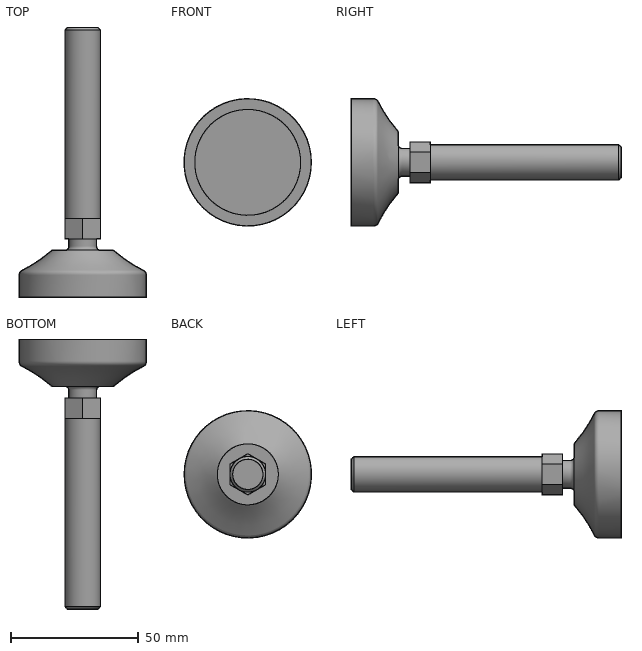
import cadquery as cq
import math

foot_radius = 50.0 / 2
foot_rim_height = 8.7
shoulder_round_top = 10.5
shoulder_outer_radius = 24.1
shoulder_top_radius = 12.8
shoulder_top_height = 17.9
foot_height = 18.5
foot_top_radius = 12.0
shoulder_sag = 0.4
rim_round_bulge = 0.26

recess_radius = 41.5 / 2
recess_depth = 3.0

neck_radius = 11.0 / 2
flare_radius = 6.5
flare_top_height = 19.8
flare_sag = 0.2

hex_across_flats = 14.0
hex_bottom = 23.0
hex_height = 8.1
stud_radius = 14.0 / 2
total_length = 106
stud_chamfer = 1.1


def arc_midpoint(start, end, offset):
    """Point beside the middle of a chord, offset to the left of its direction."""
    dx = end[0] - start[0]
    dy = end[1] - start[1]
    length = math.hypot(dx, dy)
    mid_x = (start[0] + end[0]) / 2
    mid_y = (start[1] + end[1]) / 2
    return (mid_x - offset * dy / length, mid_y + offset * dx / length)


def make_foot_and_neck():
    rim_top = (foot_radius, foot_rim_height)
    shoulder_start = (shoulder_outer_radius, shoulder_round_top)
    shoulder_end = (shoulder_top_radius, shoulder_top_height)
    flare_start = (flare_radius, foot_height)
    flare_end = (neck_radius, flare_top_height)
    return (
        cq.Workplane("XY")
        .moveTo(0, recess_depth)
        .lineTo(recess_radius, recess_depth)
        .lineTo(recess_radius, 0)
        .lineTo(foot_radius, 0)
        .lineTo(*rim_top)
        .threePointArc(arc_midpoint(rim_top, shoulder_start, -rim_round_bulge), shoulder_start)
        .threePointArc(arc_midpoint(shoulder_start, shoulder_end, shoulder_sag), shoulder_end)
        .lineTo(foot_top_radius, foot_height)
        .lineTo(*flare_start)
        .threePointArc(arc_midpoint(flare_start, flare_end, flare_sag), flare_end)
        .lineTo(neck_radius, hex_bottom)
        .lineTo(0, hex_bottom)
        .close()
        .revolve(360, (0, 0, 0), (0, 1, 0))
    )


def make_hexagon():
    """Hexagon with flats facing +X and -X and corners along Z."""
    across_corners = hex_across_flats / math.cos(math.pi / 6)
    return (
        cq.Workplane("XZ", origin=(0, hex_bottom, 0))
        .transformed(rotate=(0, 0, 90))
        .polygon(6, across_corners)
        .extrude(-hex_height)
    )


def make_stud():
    stud_bottom = hex_bottom + hex_height
    return (
        cq.Workplane("XZ", origin=(0, stud_bottom, 0))
        .circle(stud_radius)
        .extrude(-(total_length - stud_bottom))
        .faces(">Y")
        .chamfer(stud_chamfer)
    )


result = make_foot_and_neck().union(make_hexagon()).union(make_stud())